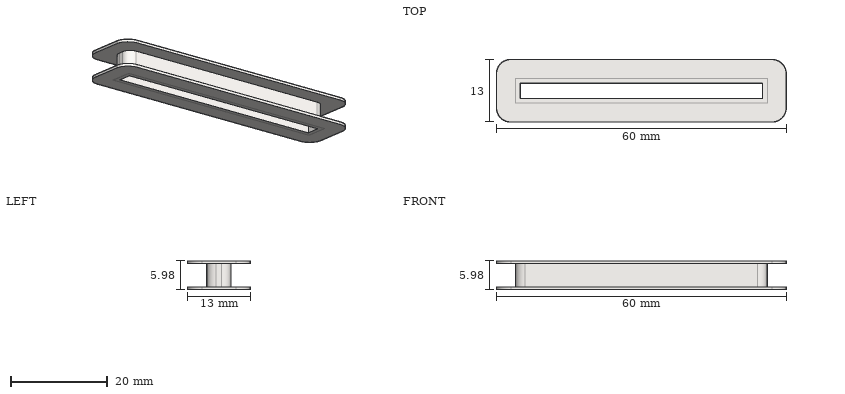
import cadquery as cq

flange_length = 60.0
flange_width = 13.0
flange_thickness = 0.6
flange_corner_radius = 3.0
total_height = 5.98

window_length = 50.1
window_width = 3.1
wall_thickness = 1.0
sleeve_corner_radius = 2.0

sleeve_length = window_length + 2 * wall_thickness
sleeve_width = window_width + 2 * wall_thickness
sleeve_height = total_height - 2 * flange_thickness
inlay_depth = flange_thickness / 2


def block(length, width, height, middle_z=0.0):
    """Rectangular block centred on the Z axis at the height `middle_z`."""
    return cq.Workplane("XY").box(length, width, height).translate((0, 0, middle_z))


def rounded_block(length, width, height, radius, middle_z=0.0):
    """Block with its four vertical edges rounded."""
    return block(length, width, height, middle_z).edges("|Z").fillet(radius)


def flange(side):
    """Thin rounded plate at the top (side = 1) or bottom (side = -1) of the spool.

    A square-cornered inlay around the window lies flush with the outer face. It is fused
    without merging coplanar faces, so its seam stays as an edge on that face.
    """
    plate_z = side * (total_height - flange_thickness) / 2
    inlay_z = side * (total_height - inlay_depth) / 2
    plate = rounded_block(flange_length, flange_width, flange_thickness, flange_corner_radius, plate_z)
    inlay = block(sleeve_length, sleeve_width, inlay_depth, inlay_z)
    return plate.union(inlay, clean=False)


spool = rounded_block(sleeve_length, sleeve_width, sleeve_height, sleeve_corner_radius)
for side in (-1, 1):
    spool = spool.union(flange(side), clean=False)

window = block(window_length, window_width, total_height)
result = spool.cut(window, clean=False)